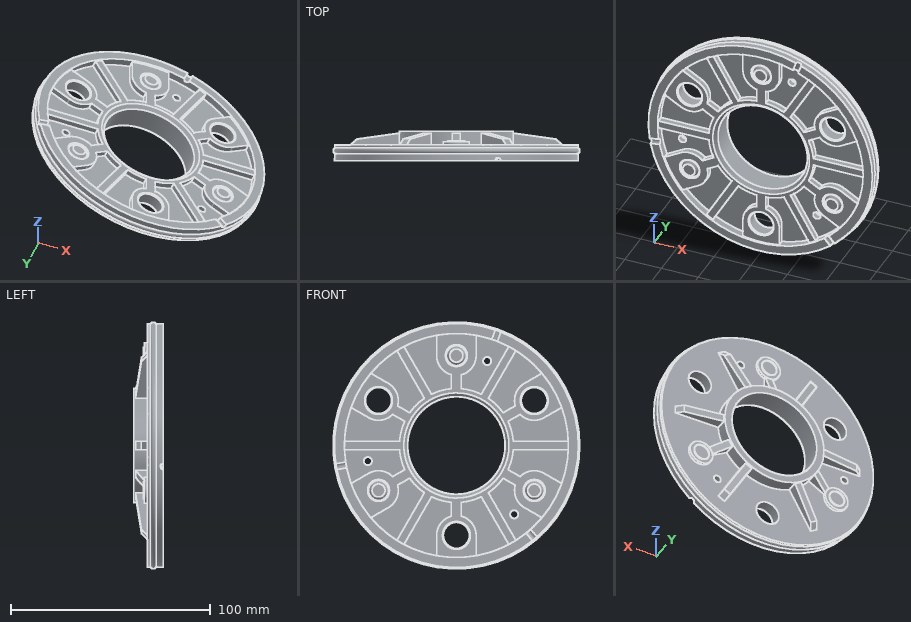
import cadquery as cq
plate_radius = 122.0 / 2
plate_thickness = 8.0
rim_inner_radius = 112.0 / 2
hub_radius = 57.0 / 2
hub_back = 15.0
bore_radius = 48.7 / 2
bore_chamfer = 2.0
raised_face = 1.0
pocket_floor = 4.3

ring_outer_radius = 123.5 / 2
ring_section_radius = 1.5
ring_center_radius = ring_outer_radius - ring_section_radius
ring_center_y = 5.1
groove_floor_radius = ring_center_radius - ring_section_radius

bolt_circle_radius = 45.0
boss_half_width = 9.9
spoke_width = 5.0
open_hole_radius = 13.0 / 2
hole_chamfer = 0.5
small_hole_radius = 4.0 / 2
pin_angles = (90, 210, 330)
open_hole_angles = (30, 150, 270)
small_hole_angles = (70, 190, 310)

rib_angles = range(0, 360, 60)
rib_width = 4.1
rib_root_back = 14.0
rib_knee_radius = 49.6
rib_knee_back = 11.0
rib_foot_radius = 53.1

pin_radius = 10.0 / 2
pin_tip_radius = 6.5 / 2
pin_tip_y = 0.1
pin_cone_length = 1.7
pin_head_radius = 13.0 / 2
pin_head_back = 9.5
pin_cap_radius = 8.5 / 2
pin_cap_back = 10.0

notch_radius = 1.5

joint_overlap = 1.2
rim_joint_radius = rim_inner_radius + joint_overlap
hub_joint_radius = hub_radius - joint_overlap


def turn(shape, angle):
    """Turn a shape from the +X direction towards +Z by an angle in degrees."""
    return shape.rotate((0, 0, 0), (0, 1, 0), -angle)


def front_plane(y):
    """Plane facing -Y, with local x along X and local y along Z; negative extrusion goes to +Y."""
    return cq.Workplane("XZ", origin=(0, y, 0))


def revolve_profile(points):
    """Turn a closed (radius, y) outline about the Y axis."""
    return cq.Workplane("XY").polyline(points).close().revolve(360, (0, 0, 0), (0, 1, 0))


def radial_bar(inner_radius, outer_radius, width, front, back):
    """Rectangular bar along the X axis, from y = front to y = back."""
    length = outer_radius - inner_radius
    middle = (inner_radius + outer_radius) / 2
    return front_plane(front).center(middle, 0).rect(length, width).extrude(front - back)


def back_rib(points):
    """Extrude a (radius, y) outline to the rib width, centred on the X axis."""
    return cq.Workplane("XY").polyline(points).close().extrude(rib_width / 2, both=True)


def turned_plate():
    """Rim with its seal groove, thin web behind the front pocket, and hub with a chamfered bore."""
    groove_front = ring_center_y - ring_section_radius
    groove_back = ring_center_y + ring_section_radius
    return revolve_profile([
        (bore_radius + bore_chamfer, raised_face),
        (hub_radius, raised_face),
        (hub_radius, pocket_floor),
        (rim_inner_radius, pocket_floor),
        (rim_inner_radius, 0),
        (plate_radius, 0),
        (plate_radius, groove_front),
        (groove_floor_radius, groove_front),
        (groove_floor_radius, groove_back),
        (plate_radius, groove_back),
        (plate_radius, plate_thickness),
        (hub_radius, plate_thickness),
        (hub_radius, hub_back),
        (bore_radius, hub_back),
        (bore_radius, raised_face + bore_chamfer),
    ])


def boss_with_spoke():
    """Front boss, round towards the hub, and the spoke that ties it to the hub."""
    boss = (
        front_plane(raised_face)
        .moveTo(rim_joint_radius, boss_half_width)
        .lineTo(bolt_circle_radius, boss_half_width)
        .threePointArc((bolt_circle_radius - boss_half_width, 0), (bolt_circle_radius, -boss_half_width))
        .lineTo(rim_joint_radius, -boss_half_width)
        .close()
        .extrude(raised_face - plate_thickness)
    )
    spoke = radial_bar(hub_joint_radius, bolt_circle_radius, spoke_width, raised_face, plate_thickness)
    return boss.union(spoke)


def long_rib():
    """Full-length front rib together with the sloping rib behind it."""
    front = radial_bar(hub_joint_radius, rim_joint_radius, rib_width, raised_face, plate_thickness)
    back = back_rib([
        (hub_joint_radius, pocket_floor),
        (hub_joint_radius, rib_root_back),
        (hub_radius, rib_root_back),
        (rib_knee_radius, rib_knee_back),
        (rib_foot_radius, plate_thickness),
        (rib_foot_radius, pocket_floor),
    ])
    return front.union(back)


def pin_rib():
    """Short back rib that slopes from the hub down to the head of a pin."""
    rib = back_rib([
        (hub_joint_radius, pocket_floor),
        (hub_joint_radius, rib_root_back),
        (hub_radius, rib_root_back),
        (bolt_circle_radius - pin_head_radius, pin_head_back),
        (bolt_circle_radius, pin_head_back),
        (bolt_circle_radius, pocket_floor),
    ])
    head_space = (
        front_plane(plate_thickness)
        .center(bolt_circle_radius, 0)
        .circle(pin_head_radius)
        .extrude(plate_thickness - hub_back)
    )
    return rib.cut(head_space)


def chamfered_hole(radius):
    """Cutter for a through hole on the bolt circle, chamfered at the front of its boss."""
    cutter = revolve_profile([
        (0, raised_face),
        (radius + hole_chamfer, raised_face),
        (radius, raised_face + hole_chamfer),
        (radius, plate_thickness),
        (0, plate_thickness),
    ])
    return cutter.translate((bolt_circle_radius, 0, 0))


def small_hole():
    """Cutter for a small plain through hole on the bolt circle."""
    return (
        front_plane(0)
        .center(bolt_circle_radius, 0)
        .circle(small_hole_radius)
        .extrude(-plate_thickness)
    )


def rim_notch():
    """Radial cylinder centred on the front face of the rim; its inner half cuts the notch."""
    start = rim_inner_radius - joint_overlap
    return (
        cq.Workplane("YZ", origin=(start, 0, 0))
        .circle(notch_radius)
        .extrude(plate_radius + joint_overlap - start)
    )


def make_plate():
    plate = turned_plate()
    for angle in pin_angles + open_hole_angles:
        plate = plate.union(turn(boss_with_spoke(), angle))
    for angle in rib_angles:
        plate = plate.union(turn(long_rib(), angle))
    for angle in pin_angles:
        plate = plate.union(turn(pin_rib(), angle))
        plate = plate.cut(turn(chamfered_hole(pin_radius), angle))
    for angle in open_hole_angles:
        plate = plate.cut(turn(chamfered_hole(open_hole_radius), angle))
    for angle in small_hole_angles:
        plate = plate.cut(turn(small_hole(), angle))
        plate = plate.cut(turn(rim_notch(), angle))
    return plate


def make_seal_ring():
    """Ring of round section that rests on the groove floor and stands out past the rim."""
    return (
        cq.Workplane("XY")
        .center(ring_center_radius, ring_center_y)
        .circle(ring_section_radius)
        .revolve(360, (-ring_center_radius, 0, 0), (-ring_center_radius, 1, 0))
    )


def make_pin(angle):
    """Pin with a conical tip in front and a stepped head seated on the back of the plate."""
    pin = revolve_profile([
        (0, pin_tip_y),
        (pin_tip_radius, pin_tip_y),
        (pin_radius, pin_tip_y + pin_cone_length),
        (pin_radius, plate_thickness),
        (pin_head_radius, plate_thickness),
        (pin_head_radius, pin_head_back),
        (pin_cap_radius, pin_head_back),
        (pin_cap_radius, pin_cap_back),
        (0, pin_cap_back),
    ])
    return turn(pin.translate((bolt_circle_radius, 0, 0)), angle)


plate = make_plate()
seal_ring = make_seal_ring()
pins = [make_pin(angle) for angle in pin_angles]

result = cq.Compound.makeCompound([
    plate.val(),
    seal_ring.val(),
    *[pin.val() for pin in pins],
])